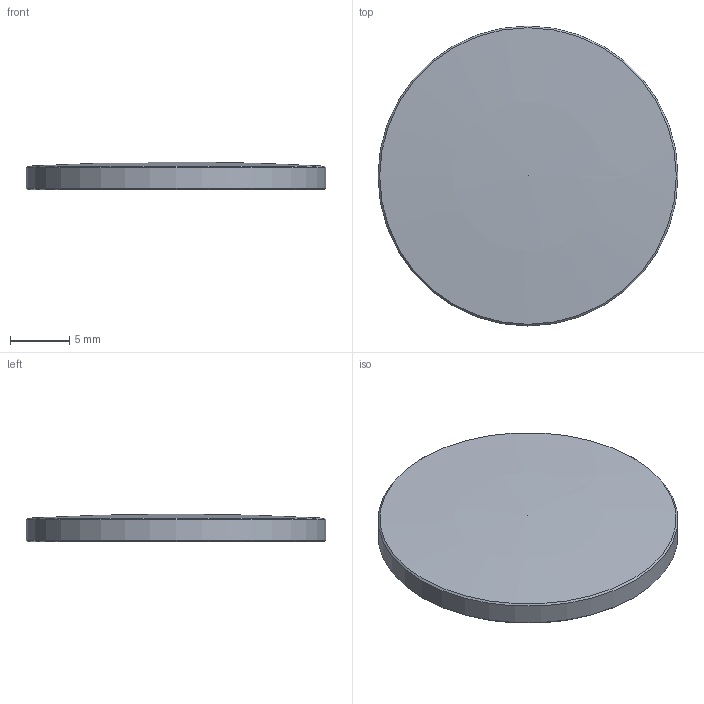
import cadquery as cq
import math

diameter = 25.4
center_thickness = 2.35
edge_thickness = 2.0
bevel_width = 0.2

radius = diameter / 2
bevel_leg = bevel_width / math.sqrt(2)
face_radius = radius - bevel_leg

sagitta = center_thickness - edge_thickness
sphere_radius = (radius**2 + sagitta**2) / (2 * sagitta)


def convex_height(distance):
    """Height of the convex face at a distance from the optical axis."""
    sphere_center = center_thickness - sphere_radius
    return sphere_center + math.sqrt(sphere_radius**2 - distance**2)


def make_lens():
    """Revolve the bevelled half section about the optical axis."""
    rim_height = convex_height(face_radius)
    arc_middle = face_radius / 2
    half_section = (
        cq.Workplane("XZ")
        .lineTo(face_radius, 0)
        .lineTo(radius, bevel_leg)
        .lineTo(radius, rim_height - bevel_leg)
        .lineTo(face_radius, rim_height)
        .threePointArc((arc_middle, convex_height(arc_middle)), (0, center_thickness))
        .close()
    )
    return half_section.revolve(360, (0, 0), (0, 1))


result = make_lens()